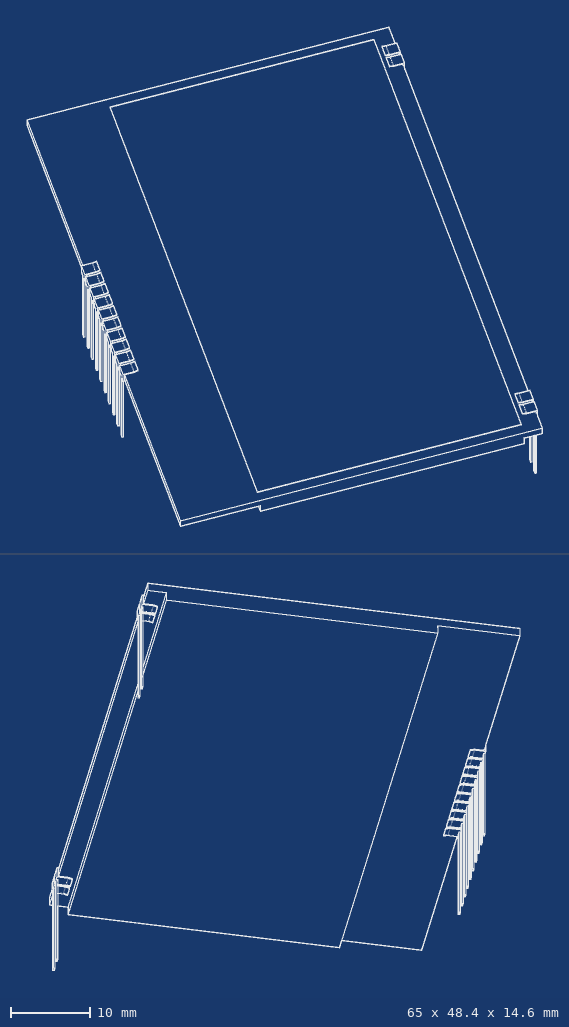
import cadquery as cq

overall_width = 65.0
overall_depth = 48.4
overall_height = 14.6

wall = 0.2
jaw_thickness = 0.15
clip_width = 1.45
clip_pitch = 1.8
jaw_flat = 1.45
jaw_reach = 2.0
lip_rise = 0.15
pin_width = 0.5

glass_thickness = 1.2
glass_depth = overall_depth - 2 * wall
rear_ledge = 2.4
lower_depth = 35.0

film_width = 62.4
film_thickness = 0.1

front_clip_count = 10
rear_clip_count = 2
rear_group_offset = 28.15

lower_centre_y = glass_depth / 2 - rear_ledge - lower_depth / 2
clip_top = glass_thickness + jaw_thickness + lip_rise
pin_bottom = clip_top - overall_height


def plate(width, depth, thickness, centre_y, bottom):
    """Rectangular sheet centred on X = 0."""
    return (
        cq.Workplane("XY", origin=(0, centre_y, bottom))
        .rect(width, depth)
        .extrude(thickness)
    )


def edge_clip(x):
    """C-shaped clip gripping the -Y edge, with flared lips and a straight pin below."""
    outer = -overall_depth / 2
    inner = outer + wall
    bend = outer + jaw_flat
    tip = outer + jaw_reach
    profile = [
        (outer, -jaw_thickness),
        (bend, -jaw_thickness),
        (tip, -jaw_thickness - lip_rise),
        (tip, -lip_rise),
        (bend, 0),
        (inner, 0),
        (inner, glass_thickness),
        (bend, glass_thickness),
        (tip, glass_thickness + lip_rise),
        (tip, clip_top),
        (bend, glass_thickness + jaw_thickness),
        (outer, glass_thickness + jaw_thickness),
    ]
    jaws = (
        cq.Workplane("YZ", origin=(x, 0, 0))
        .polyline(profile)
        .close()
        .extrude(clip_width / 2, both=True)
    )
    pin = (
        cq.Workplane("XY", origin=(x, outer + wall / 2, pin_bottom))
        .rect(pin_width, wall)
        .extrude(-pin_bottom)
    )
    return jaws.union(pin)


def clip_positions(count, centre_x):
    """X positions of a row of clips centred on centre_x."""
    return [centre_x + (i - (count - 1) / 2) * clip_pitch for i in range(count)]


def display_stack():
    """Upper glass, smaller lower glass, and the viewing film on top."""
    upper = plate(overall_width, glass_depth, glass_thickness, 0, 0)
    lower = plate(overall_width, lower_depth, glass_thickness, lower_centre_y, -glass_thickness)
    film = plate(film_width, lower_depth, film_thickness, lower_centre_y, glass_thickness)
    return upper.union(lower).union(film)


result = display_stack()

for x in clip_positions(front_clip_count, 0):
    result = result.union(edge_clip(x))

for side in (-1, 1):
    for x in clip_positions(rear_clip_count, side * rear_group_offset):
        result = result.union(edge_clip(x).mirror("XZ"))